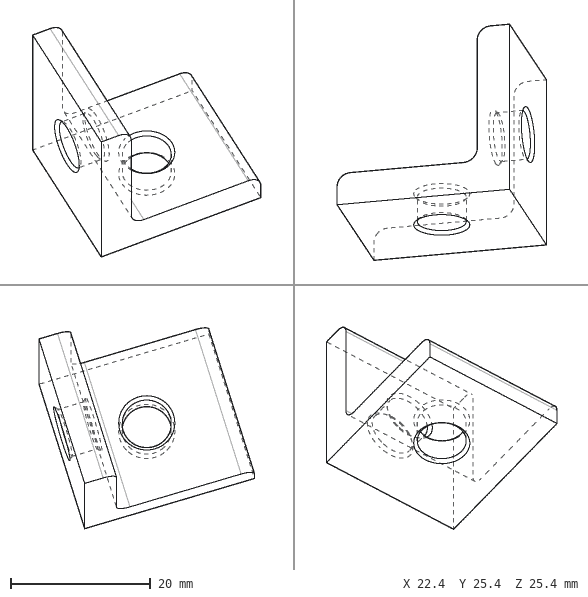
import cadquery as cq

width = 22.35
leg_length = 25.4
thickness = 4.78
edge_radius = 2.0

hole_diameter = 7.0
hole_chamfer = 0.5
hole_offset = leg_length / 2


def make_angle():
    """L-shaped profile extruded along X, with its outside corner on the X axis."""
    profile = (
        cq.Workplane("YZ")
        .moveTo(0, 0)
        .lineTo(leg_length, 0)
        .lineTo(leg_length, thickness - edge_radius)
        .radiusArc((leg_length - edge_radius, thickness), -edge_radius)
        .lineTo(thickness + edge_radius, thickness)
        .radiusArc((thickness, thickness + edge_radius), edge_radius)
        .lineTo(thickness, leg_length - edge_radius)
        .radiusArc((thickness - edge_radius, leg_length), -edge_radius)
        .lineTo(0, leg_length)
        .close()
    )
    return profile.extrude(width / 2, both=True)


def make_hole_cutter():
    """Hole through one leg along +Z, chamfered where it meets both faces."""
    radius = hole_diameter / 2
    mouth_radius = radius + hole_chamfer
    half_section = (
        cq.Workplane("XZ")
        .moveTo(0, 0)
        .lineTo(mouth_radius, 0)
        .lineTo(radius, hole_chamfer)
        .lineTo(radius, thickness - hole_chamfer)
        .lineTo(mouth_radius, thickness)
        .lineTo(0, thickness)
        .close()
    )
    return half_section.revolve(360, (0, 0, 0), (0, 1, 0))


flat_leg_hole = make_hole_cutter().translate((0, hole_offset, 0))
upright_leg_hole = (
    make_hole_cutter()
    .rotate((0, 0, 0), (1, 0, 0), -90)
    .translate((0, 0, hole_offset))
)

result = make_angle().cut(flat_leg_hole).cut(upright_leg_hole)